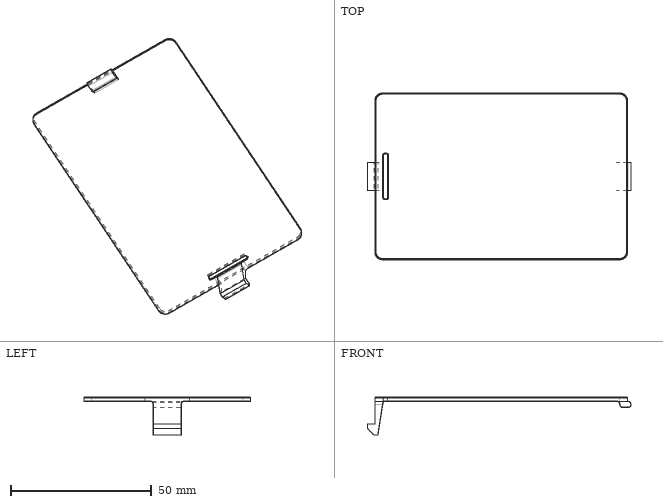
import cadquery as cq

total_length = 94.1
total_height = 13.6

plate_left = 2.6
plate_right = 92.9
plate_width = 59.6
plate_thickness = 1.6
corner_radius = 2.8
edge_chamfer = 0.42
plate_length = plate_right - plate_left
plate_center_x = (plate_left + plate_right) / 2

clip_width = 10.1
leg_root_x = 5.6
leg_tip_x = 3.8
hook_ledge_depth = 9.7
hook_nose_depth = 11.3
hook_flat_x = 2.3
root_fillet = 1.1

tongue_left = 90.1
tongue_thickness = 2.2
tongue_radius = 0.9
tongue_tip_radius = 1.1

slot_left = 5.7
slot_width = 1.5
slot_length = 16.0
slot_corner_radius = 0.5
slot_chamfer = 0.3


def make_plate():
    return (
        cq.Workplane("XY")
        .box(plate_length, plate_width, plate_thickness, centered=(True, True, False))
        .translate((plate_center_x, 0, -plate_thickness))
        .edges("|Z")
        .fillet(corner_radius)
        .faces(">Z")
        .edges()
        .chamfer(edge_chamfer)
    )


def make_hook():
    """Tapered leg with an outward hook, extruded across the clip width."""
    profile = [
        (plate_left, -plate_thickness),
        (leg_root_x, -plate_thickness),
        (leg_tip_x, -total_height),
        (hook_flat_x, -total_height),
        (0, -hook_nose_depth),
        (0, -hook_ledge_depth),
        (plate_left, -hook_ledge_depth),
    ]
    return cq.Workplane("XZ").polyline(profile).close().extrude(clip_width / 2, both=True)


def make_tongue():
    """Lip that overhangs the right edge, with its free edges rounded."""
    length = total_length - tongue_left
    return (
        cq.Workplane("XY")
        .box(length, clip_width, tongue_thickness, centered=(False, True, False))
        .translate((tongue_left, 0, -plate_thickness - tongue_thickness))
        .edges("|Y and <Z")
        .fillet(tongue_radius)
        .edges("|Y and >Z and >X")
        .fillet(tongue_tip_radius)
    )


def fillet_roots(body):
    """Blend the leg sides, the leg back and the inner tongue face into the plate."""
    margin = 0.1
    root_box = cq.selectors.BoxSelector(
        (plate_left - margin, -clip_width / 2 - margin, -plate_thickness - margin),
        (tongue_left + margin, clip_width / 2 + margin, -plate_thickness + margin),
        boundingbox=True,
    )
    return body.edges(root_box).fillet(root_fillet)


def cut_slot(body):
    """Cut the slot through plate and leg fillet, then chamfer its top rim."""
    cutter = (
        cq.Workplane("XY")
        .rect(slot_width, slot_length)
        .extrude(-total_height)
        .edges("|Z")
        .fillet(slot_corner_radius)
        .translate((slot_left + slot_width / 2, 0, 0))
    )
    rim = cq.selectors.BoxSelector(
        (slot_left - slot_chamfer, -slot_length, -slot_chamfer),
        (slot_left + slot_width + slot_chamfer, slot_length, slot_chamfer),
    )
    return body.cut(cutter).edges(rim).chamfer(slot_chamfer)


body = make_plate().union(make_hook()).union(make_tongue())
result = cut_slot(fillet_roots(body))